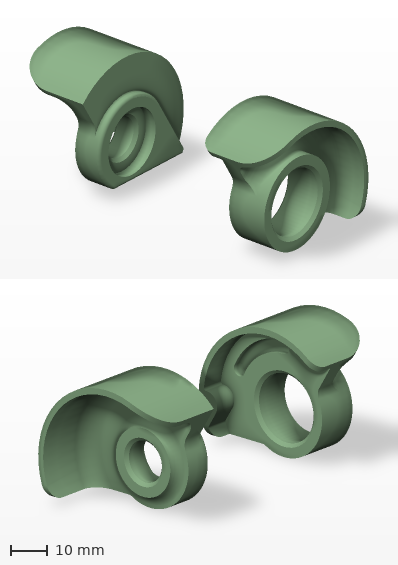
import cadquery as cq
import math

overall_length = 90.0
half_width = 24.0

shell_radius = 25.0
shell_inner_radius = 23.2
hub_radius = 28.0 / 2
flat_z = -12.0
wall_angle = 31.0
wall_offset = 6.4
edge_break = 1.0

tip_corner_radius = 11.0
small_corner_radius = 4.0
corner_cut_start = 16.2
corner_cut_length = 10.8

left_cove_radius = 5.0
left_wall_fillet = 5.0
collar_start_x = 15.0
collar_radius = 20.0 / 2
collar_cove_radius = 2.8
left_plate_x = 18.0
left_hub_end_x = 23.0
spigot_end_x = 26.55
left_bore_radius = 12.1 / 2
socket_radius = 20.1 / 2

right_start_x = overall_length - half_width
recess_depth = 7.0
right_floor_x = right_start_x + recess_depth
right_plate_end_x = 78.0
right_hub_end_x = 85.5
right_cove_radius = 3.5
right_wall_fillet = 3.5
right_bore_radius = 20.0 / 2

lug_top_z = 1.8
lug_nose_radius = 3.9
lug_fillet = 0.7

groove_radius = 18.0
groove_width = 4.0
groove_depth = 2.5
groove_floor_fillet = 1.0
groove_start_angle = 25.0
groove_end_angle = 90.0

wall_normal = (math.cos(math.radians(wall_angle)), math.sin(math.radians(wall_angle)))
wall_along = (-wall_normal[1], wall_normal[0])


def wall_point(along, normal):
    """YZ point given by its distances along the end wall and along the wall's normal."""
    return tuple(along * a + normal * n for a, n in zip(wall_along, wall_normal))


def leg(hypotenuse, other_leg):
    return math.sqrt(hypotenuse**2 - other_leg**2)


wall_tip = wall_point(leg(shell_radius, wall_offset), -wall_offset)
flat_corner = (leg(shell_radius, flat_z), flat_z)
hub_flat_y = leg(hub_radius, flat_z)


def yz_plane(x):
    return cq.Workplane("YZ", origin=(x, 0, 0))


def sector_profile(x, length, wall_fillet):
    """Sector of the shell, down to the axis, with a fillet from the end wall onto the hub."""
    fillet_centre_distance = hub_radius + wall_fillet
    along = leg(fillet_centre_distance, wall_offset + wall_fillet)
    centre = wall_point(along, -wall_offset - wall_fillet)
    wall_tangent = wall_point(along, -wall_offset)
    hub_tangent = tuple(c * hub_radius / fillet_centre_distance for c in centre)
    middle_direction = [w + h - 2 * c for w, h, c in zip(wall_tangent, hub_tangent, centre)]
    stretch = wall_fillet / math.hypot(*middle_direction)
    fillet_middle = tuple(c + m * stretch for c, m in zip(centre, middle_direction))
    return (
        yz_plane(x)
        .moveTo(*wall_tip)
        .threePointArc((0, shell_radius), flat_corner)
        .lineTo(0, flat_z)
        .lineTo(0, 0)
        .lineTo(*hub_tangent)
        .threePointArc(fillet_middle, wall_tangent)
        .close()
        .extrude(length)
    )


def turned(section):
    """Revolve an (x, radius) section about the X axis."""
    return section.close().revolve(360, (0, 0, 0), (1, 0, 0))


def section_at(x, radius):
    return cq.Workplane("XY").moveTo(x, radius)


def cove_middle(centre_x, centre_radius, radius, x_sign, radial_sign):
    """Middle of a quarter arc that bulges from its centre towards the given signs."""
    reach = radius * math.sqrt(0.5)
    return (centre_x + x_sign * reach, centre_radius + radial_sign * reach)


def bore(radius, start_x, end_x):
    """Through bore with a chamfered mouth at each end."""
    mouth = radius + edge_break
    section = (
        section_at(start_x, 0)
        .lineTo(start_x, mouth)
        .lineTo(start_x + edge_break, radius)
        .lineTo(end_x - edge_break, radius)
        .lineTo(end_x, mouth)
        .lineTo(end_x, 0)
    )
    return turned(section)


def corner_cutter(plane, radius):
    """Material outside a rounded corner; the corner is the plane's origin, the body at +x, +y."""
    middle = radius * (1 - math.sqrt(0.5))
    return (
        cq.Workplane(plane)
        .lineTo(radius, 0)
        .threePointArc((middle, middle), (0, radius))
        .close()
        .extrude(corner_cut_length)
    )


def tip_cutter(face_x, inward, radius):
    """Rounds the corner between the end wall and an end face of the shell."""
    y, z = wall_point(corner_cut_start, -wall_offset)
    if inward < 0:
        y, z = wall_point(corner_cut_start + corner_cut_length, -wall_offset)
    normal = (0, inward * wall_along[0], inward * wall_along[1])
    return corner_cutter(cq.Plane((face_x, y, z), (inward, 0, 0), normal), radius)


def flat_cutter(face_x, inward):
    """Rounds the corner between the flat underside and an end face of the shell."""
    y = corner_cut_start
    if inward > 0:
        y += corner_cut_length
    plane = cq.Plane((face_x, y, flat_z), (inward, 0, 0), (0, -inward, 0))
    return corner_cutter(plane, small_corner_radius)


def left_shell():
    """Shell and plate with a cove between them."""
    cove_centre = (left_plate_x - left_cove_radius, shell_inner_radius - left_cove_radius)
    section = (
        section_at(0, shell_radius)
        .lineTo(0, shell_inner_radius)
        .lineTo(cove_centre[0], shell_inner_radius)
        .threePointArc(
            cove_middle(*cove_centre, left_cove_radius, 1, 1),
            (left_plate_x, cove_centre[1]),
        )
        .lineTo(left_plate_x, 0)
        .lineTo(half_width, 0)
        .lineTo(half_width, shell_radius)
    )
    shell = turned(section).intersect(sector_profile(0, half_width, left_wall_fillet))
    return shell.cut(tip_cutter(0, 1, tip_corner_radius)).cut(flat_cutter(0, 1))


def collar():
    """Round collar that flares out into the front of the plate."""
    flare_radius = collar_radius + collar_cove_radius
    flare_start_x = left_plate_x - collar_cove_radius
    section = (
        section_at(collar_start_x, 0)
        .lineTo(collar_start_x, collar_radius)
        .lineTo(flare_start_x, collar_radius)
        .threePointArc(
            cove_middle(flare_start_x, flare_radius, collar_cove_radius, 1, -1),
            (left_plate_x, flare_radius),
        )
        .lineTo(left_plate_x, 0)
    )
    return turned(section)


def hub_and_spigot():
    """Hub with an arm whose upper side is tangent to it; its rear part stops at the flat underside."""
    arm_tangent = wall_point(0, hub_radius)
    arm_tip = wall_point(-leg(shell_radius, hub_radius), hub_radius)
    arm_middle_angle = (math.atan2(arm_tip[1], arm_tip[0]) + math.atan2(flat_z, flat_corner[0])) / 2
    arm_middle = (shell_radius * math.cos(arm_middle_angle), shell_radius * math.sin(arm_middle_angle))
    hub = (
        yz_plane(left_plate_x)
        .moveTo(hub_flat_y, flat_z)
        .threePointArc((-hub_flat_y, -flat_z), arm_tangent)
        .lineTo(*arm_tip)
        .threePointArc(arm_middle, flat_corner)
        .close()
        .extrude(spigot_end_x - left_plate_x)
    )
    box_size = 2 * hub_radius
    relief = yz_plane(left_hub_end_x).rect(box_size, box_size).extrude(spigot_end_x - left_hub_end_x)
    hub = hub.cut(relief.translate((0, 0, flat_z - hub_radius)))
    rim_edge = cq.selectors.NearestToPointSelector((left_hub_end_x, 0, -hub_radius))
    return hub.faces(">X").edges().fillet(edge_break).edges(rim_edge).fillet(edge_break)


def left_body():
    hole = bore(left_bore_radius, collar_start_x, left_hub_end_x)
    socket = yz_plane(left_hub_end_x).circle(socket_radius).extrude(spigot_end_x - left_hub_end_x)
    return collar().union(hub_and_spigot()).union(left_shell()).cut(hole).cut(socket)


def right_shell():
    """Shell with a recess on one side of the plate and coves around the hub on the other."""
    plate_x = right_plate_end_x
    cove_x = plate_x + right_cove_radius
    hub_cove_radius = hub_radius + right_cove_radius
    shell_cove_radius = shell_inner_radius - right_cove_radius
    section = (
        section_at(right_start_x, shell_radius)
        .lineTo(right_start_x, shell_inner_radius)
        .lineTo(right_floor_x, shell_inner_radius)
        .lineTo(right_floor_x, 0)
        .lineTo(right_hub_end_x, 0)
        .lineTo(right_hub_end_x, hub_radius)
        .lineTo(cove_x, hub_radius)
        .threePointArc(
            cove_middle(cove_x, hub_cove_radius, right_cove_radius, -1, -1),
            (plate_x, hub_cove_radius),
        )
        .lineTo(plate_x, shell_cove_radius)
        .threePointArc(
            cove_middle(cove_x, shell_cove_radius, right_cove_radius, -1, 1),
            (cove_x, shell_inner_radius),
        )
        .lineTo(overall_length, shell_inner_radius)
        .lineTo(overall_length, shell_radius)
    )
    shell = turned(section).intersect(sector_profile(right_start_x, half_width, right_wall_fillet))
    hub = yz_plane(right_floor_x).circle(hub_radius).extrude(right_hub_end_x - right_floor_x)
    return shell.union(hub)


def stop_lug():
    """Lug on the inside of the shell, with a round nose and a flat tangent to the hub radius."""
    nose_z = lug_top_z - lug_nose_radius
    nose_y = (hub_radius + lug_nose_radius - nose_z * wall_normal[1]) / wall_normal[0]
    root_radius = (shell_radius + shell_inner_radius) / 2
    flat_start = (nose_y - lug_nose_radius * wall_normal[0], nose_z - lug_nose_radius * wall_normal[1])
    return (
        yz_plane(right_start_x)
        .moveTo(leg(root_radius, lug_top_z), lug_top_z)
        .lineTo(nose_y, lug_top_z)
        .threePointArc((nose_y - lug_nose_radius, nose_z), flat_start)
        .lineTo(*wall_point(-leg(root_radius, hub_radius), hub_radius))
        .close()
        .extrude(recess_depth)
    )


def lug_roots():
    """Box selector around the two lines where the lug meets the inside of the shell."""
    bottom = wall_point(-leg(shell_inner_radius, hub_radius), hub_radius)
    top = (leg(shell_inner_radius, lug_top_z), lug_top_z)
    margin = 0.2
    x = right_start_x + recess_depth / 2
    boxes = [
        cq.selectors.BoxSelector((x - margin, y - margin, z - margin), (x + margin, y + margin, z + margin))
        for y, z in (bottom, top)
    ]
    return boxes[0] + boxes[1]


def groove():
    """Curved groove with round ends and a filleted floor."""
    half = groove_width / 2
    middle_angle = (groove_start_angle + groove_end_angle) / 2

    def polar(radius, angle):
        return (radius * math.cos(math.radians(angle)), radius * math.sin(math.radians(angle)))

    def end_middle(angle, side):
        y, z = polar(groove_radius, angle)
        dy, dz = polar(side * half, angle + 90)
        return (y + dy, z + dz)

    outer = groove_radius + half
    inner = groove_radius - half
    return (
        yz_plane(right_floor_x)
        .moveTo(*polar(outer, groove_start_angle))
        .threePointArc(polar(outer, middle_angle), polar(outer, groove_end_angle))
        .threePointArc(end_middle(groove_end_angle, 1), polar(inner, groove_end_angle))
        .threePointArc(polar(inner, middle_angle), polar(inner, groove_start_angle))
        .threePointArc(end_middle(groove_start_angle, -1), polar(outer, groove_start_angle))
        .close()
        .extrude(groove_depth)
        .faces(">X")
        .edges()
        .fillet(groove_floor_fillet)
    )


def right_body():
    body = right_shell().union(stop_lug())
    body = body.edges(lug_roots()).fillet(lug_fillet)
    body = body.cut(tip_cutter(right_start_x, 1, small_corner_radius))
    body = body.cut(tip_cutter(overall_length, -1, tip_corner_radius))
    body = body.cut(flat_cutter(right_start_x, 1)).cut(flat_cutter(overall_length, -1))
    return body.cut(groove()).cut(bore(right_bore_radius, right_floor_x, right_hub_end_x))


left_knuckle = left_body()
right_knuckle = right_body()
result = cq.Compound.makeCompound([left_knuckle.val(), right_knuckle.val()])